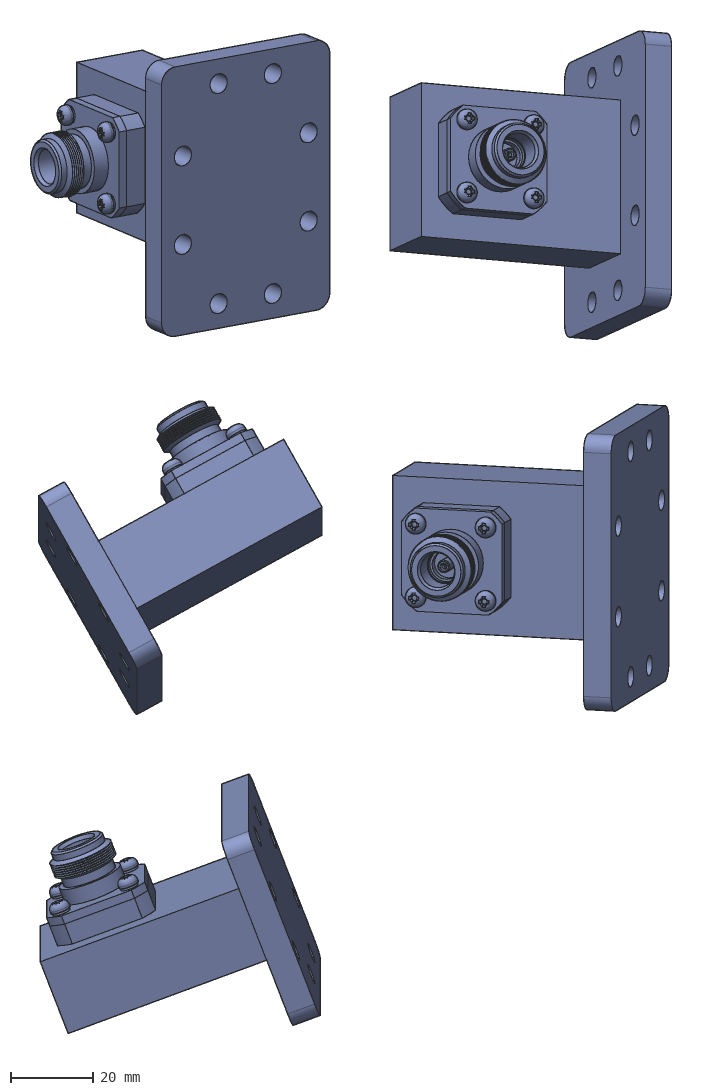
import cadquery as cq


total_length = 60.0
total_depth = 55.0

flange_thickness = 7.05
flange_width = 49.2
flange_height = 68.3
flange_corner_radius = 3.95
flange_hole_diameter = 5.0
end_hole_y = 7.9
end_hole_z = 27.9
side_hole_y = 18.4
side_hole_z = 11.2

block_length = total_length - flange_thickness
block_width = 19.2
block_height = 38.2

connector_x = 17.3
plate_side = 25.55
plate_turned_diameter = 31.7
turned_center_offset = 0.2
pad_thickness = 5.3
plate_thickness = 2.2

front_y = -block_width / 2 - pad_thickness - plate_thickness
barrel_length = total_depth - flange_width / 2 + front_y
collar_end = 4.1
thread_start = 6.35
thread_end = 11.2
thread_chamfer = 0.75
nose_chamfer = 0.5

collar_diameter = 16.0
neck_diameter = 13.45
thread_diameter = collar_diameter
thread_depth = 0.35
thread_grooves = 6

mouth_diameter = 9.55
taper_depth = 1.0
bore_diameter = 8.6
bore_depth = 6.8
lower_bore_diameter = 8.1
lower_bore_depth = 8.2
well_diameter = 7.0
well_depth = 10.25

contact_diameter = 3.1
contact_length = 4.1
contact_chamfer = 0.3
contact_entry_diameter = 1.7
contact_entry_depth = 0.35
contact_hole_diameter = 1.0
contact_hole_depth = 2.05

screw_x = 8.9
screw_z = 9.1
screw_neck_diameter = 4.45
screw_neck_length = 0.6
screw_head_diameter = 5.05
screw_head_height = 2.25
screw_head_rounding = 1.65
recess_span = 2.6
recess_arm_width = 0.8
recess_arm_depth = 0.55
recess_core_diameter = 2.05
recess_core_depth = 0.8
recess_core_taper = 25.0


def face_plane(y):
    """Plane facing -Y at the given Y, centred on the connector axis, with local Y along Z."""
    return cq.Workplane("XZ", origin=(connector_x, y, 0))


def revolve_on_axis(profile):
    """Solid of (radius, distance from the plate's front face) points turned about the connector axis."""
    axis_plane = cq.Plane(origin=(connector_x, front_y, 0), xDir=(1, 0, 0), normal=(0, 0, -1))
    return cq.Workplane(axis_plane).polyline(profile).close().revolve(360, (0, 0, 0), (0, 1, 0))


def turned_plate(y, thickness):
    """Square plate from Y = y toward -Y, its corners turned round about a slightly offset centre."""
    square = face_plane(y).rect(plate_side, plate_side).extrude(thickness)
    disc = face_plane(y).center(turned_center_offset, turned_center_offset)
    disc = disc.circle(plate_turned_diameter / 2).extrude(thickness)
    return square.intersect(disc)


def make_flange():
    """Rounded rectangular flange with two holes along each of its four sides."""
    end_holes = [(y, z) for y in (-end_hole_y, end_hole_y) for z in (-end_hole_z, end_hole_z)]
    side_holes = [(y, z) for y in (-side_hole_y, side_hole_y) for z in (-side_hole_z, side_hole_z)]
    return (
        cq.Workplane("YZ", origin=(block_length, 0, 0))
        .rect(flange_width, flange_height)
        .extrude(flange_thickness)
        .edges("|X")
        .fillet(flange_corner_radius)
        .faces(">X")
        .workplane(origin=(total_length, 0, 0))
        .pushPoints(end_holes + side_holes)
        .hole(flange_hole_diameter)
    )


def make_adapter():
    """Waveguide block with its mounting flange and the pad that carries the connector."""
    block = cq.Workplane("XY").box(block_length, block_width, block_height, centered=(False, True, True))
    pad = turned_plate(-block_width / 2, pad_thickness)
    return block.union(make_flange()).union(pad)


def make_barrel():
    """Turned collar, neck, threaded band and nose, as one profile revolved about the connector axis."""
    neck_radius = neck_diameter / 2
    crest_radius = thread_diameter / 2
    first_crest = thread_start + thread_chamfer
    last_crest = thread_end - thread_chamfer
    pitch = (last_crest - first_crest) / thread_grooves
    profile = [
        (0, 0),
        (collar_diameter / 2, 0),
        (collar_diameter / 2, collar_end),
        (neck_radius, collar_end),
        (neck_radius, thread_start),
        (crest_radius, first_crest),
    ]
    for groove in range(thread_grooves):
        crest = first_crest + groove * pitch
        profile.append((crest_radius - thread_depth, crest + pitch / 2))
        profile.append((crest_radius, crest + pitch))
    profile += [
        (neck_radius, thread_end),
        (neck_radius, barrel_length - nose_chamfer),
        (neck_radius - nose_chamfer, barrel_length),
        (0, barrel_length),
    ]
    return revolve_on_axis(profile)


def make_bore():
    """Socket in the barrel: a tapered mouth, a bore in two steps and a narrower well at its bottom."""
    taper_end = barrel_length - taper_depth
    upper_step = barrel_length - bore_depth
    lower_step = barrel_length - lower_bore_depth
    floor = barrel_length - well_depth
    profile = [
        (0, floor),
        (well_diameter / 2, floor),
        (well_diameter / 2, lower_step),
        (lower_bore_diameter / 2, lower_step),
        (lower_bore_diameter / 2, upper_step),
        (bore_diameter / 2, upper_step),
        (bore_diameter / 2, taper_end),
        (mouth_diameter / 2, barrel_length),
        (0, barrel_length),
    ]
    return revolve_on_axis(profile)


def make_contact():
    """Centre contact on the floor of the well, with a conical entry and a drilled hole."""
    floor = barrel_length - well_depth
    tip = floor + contact_length
    hole_end = tip - contact_hole_depth
    hole_radius = contact_hole_diameter / 2
    profile = [
        (0, floor),
        (contact_diameter / 2, floor),
        (contact_diameter / 2, tip - contact_chamfer),
        (contact_diameter / 2 - contact_chamfer, tip),
        (contact_entry_diameter / 2, tip),
        (hole_radius, tip - contact_entry_depth),
        (hole_radius, hole_end),
        (0, hole_end - hole_radius),
    ]
    return revolve_on_axis(profile)


def make_screw(x, z):
    """Pan-head screw on the plate's front face, with a cross recess."""
    head_y = front_y - screw_neck_length
    top_y = head_y - screw_head_height
    neck = face_plane(front_y).center(x, z).circle(screw_neck_diameter / 2).extrude(screw_neck_length)
    head = face_plane(head_y).center(x, z).circle(screw_head_diameter / 2).extrude(screw_head_height)
    head = head.faces("<Y").edges().fillet(screw_head_rounding)
    top = face_plane(top_y).center(x, z)
    recess = top.circle(recess_core_diameter / 2).extrude(-recess_core_depth, taper=recess_core_taper)
    recess = recess.union(top.rect(recess_span, recess_arm_width).extrude(-recess_arm_depth))
    recess = recess.union(top.rect(recess_arm_width, recess_span).extrude(-recess_arm_depth))
    return neck.union(head).cut(recess)


def make_connector():
    """Coaxial connector: plate, threaded barrel with its centre contact, and four screws."""
    connector = turned_plate(front_y + plate_thickness, plate_thickness)
    connector = connector.union(make_barrel()).cut(make_bore()).union(make_contact())
    for x in (-screw_x, screw_x):
        for z in (-screw_z, screw_z):
            connector = connector.union(make_screw(x, z))
    return connector


adapter = make_adapter()
connector = make_connector()

result = cq.Compound.makeCompound([adapter.val(), connector.val()])